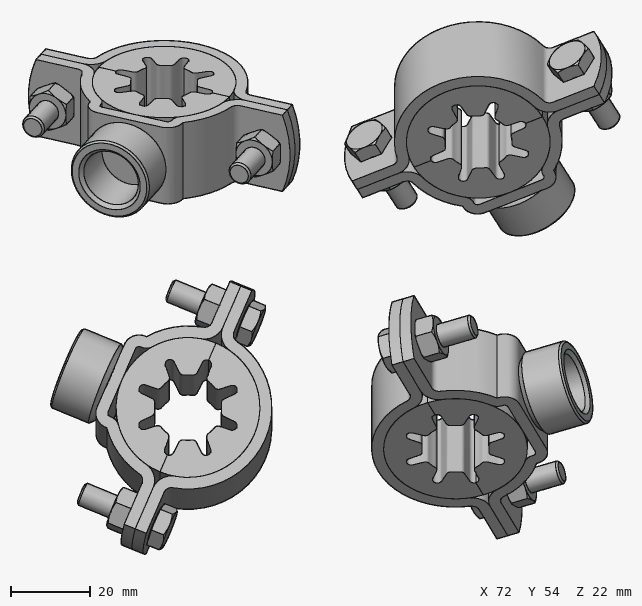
import cadquery as cq
import math

clamp_width = 22.0
strap_thickness = 3.0
liner_radius = 18.0
ring_radius = liner_radius + strap_thickness
ear_reach = 36.0
ear_end_radius = 30.0
ear_bend_inner = 2.0
ear_bend_outer = ear_bend_inner + strap_thickness

seat_bend_inner = 1.0
seat_bend_outer = seat_bend_inner + strap_thickness
seat_half_width = 12.75

slot_count = 8
bore_radius = 8.4
slot_tip_radius = 13.2
slot_tip_half_width = 1.2
slot_mouth_half_width = 1.42
tooth_fillet = 1.2

boss_radius = 10.75
boss_length = 12.0
boss_seat_chamfer = 1.5
boss_rim_chamfer = 0.5
boss_bore_radius = 7.5
boss_bore_chamfer = 0.95

bolt_spacing = 56.8
bolt_positions = [-bolt_spacing / 2, bolt_spacing / 2]
shank_radius = 3.0
shank_length = 20.0
shank_chamfer = 0.5
hex_across_flats = 10.0
hex_across_corners = hex_across_flats / math.cos(math.pi / 6)
head_height = 4.0
washer_face_radius = 4.5
washer_face_height = 0.2
nut_height = 5.0
hex_chamfer_length = 0.45
nut_seat_chamfer_length = 0.3
nut_seat_chamfer_depth = 0.45
corner_chamfer_depth = (hex_across_corners - hex_across_flats) / 2


def polar(radius, angle):
    return (radius * math.cos(angle), radius * math.sin(angle))


def from_center(center, radius, angle):
    x, y = polar(radius, angle)
    return (center[0] + x, center[1] + y)


def y_cylinder(radius, y_start, length):
    """Cylinder along Y from y_start toward +Y."""
    return cq.Workplane("XZ", origin=(0, y_start, 0)).circle(radius).extrude(-length)


def slab(outline):
    """Closed XY outline extruded over the clamp width, centred on Z = 0."""
    return outline.close().extrude(clamp_width / 2, both=True)


def both_sides(right_half):
    return right_half.union(right_half.mirror("YZ"))


bend_center_y = strap_thickness + ear_bend_inner
bend_center_x = math.sqrt((ring_radius + ear_bend_inner) ** 2 - bend_center_y ** 2)
bend_center = (bend_center_x, bend_center_y)
ear_angle = math.atan2(bend_center_y, bend_center_x)


def draw_ear(outline):
    """Continue an outline from the outer ring around one ear to the inner ring, on +X, +Y."""
    start_angle = math.pi + ear_angle
    mid_angle = (start_angle + 1.5 * math.pi) / 2
    bend_mid = from_center(bend_center, ear_bend_inner, mid_angle)
    return (
        outline
        .threePointArc(bend_mid, (bend_center_x, strap_thickness))
        .lineTo(ear_reach, strap_thickness)
        .lineTo(ear_reach, 0)
        .lineTo(bend_center_x, 0)
        .threePointArc(from_center(bend_center, ear_bend_outer, mid_angle), polar(liner_radius, ear_angle))
    )


def ear_envelope():
    """Clamp silhouette along Y: a band whose two ends are bowed outward."""
    half_width = clamp_width / 2
    sagitta = ear_end_radius - math.sqrt(ear_end_radius ** 2 - half_width ** 2)
    corner_x = ear_reach - sagitta
    return (
        cq.Workplane("XZ")
        .moveTo(-corner_x, -half_width)
        .lineTo(corner_x, -half_width)
        .threePointArc((ear_reach, 0), (corner_x, half_width))
        .lineTo(-corner_x, half_width)
        .threePointArc((-ear_reach, 0), (-corner_x, -half_width))
        .close()
        .extrude(2 * ring_radius, both=True)
    )


def finish_clamp(right_half):
    """Mirror a half strap, round its ear ends and drill the bolt holes."""
    strap = both_sides(right_half).intersect(ear_envelope())
    for x in bolt_positions:
        strap = strap.cut(y_cylinder(shank_radius, -ring_radius, 2 * ring_radius).translate((x, 0, 0)))
    return strap


def make_plain_clamp():
    top_angle = math.pi / 2
    mid_angle = (top_angle + ear_angle) / 2
    outline = (
        cq.Workplane("XY")
        .moveTo(0, ring_radius)
        .threePointArc(polar(ring_radius, mid_angle), polar(ring_radius, ear_angle))
    )
    outline = draw_ear(outline).threePointArc(polar(liner_radius, mid_angle), (0, liner_radius))
    return finish_clamp(slab(outline))


def make_seat_clamp():
    """Half strap with the flat seat, drawn on +Y and mirrored to -Y."""
    seat_angle = math.acos(seat_half_width / ring_radius)
    mid_angle = (seat_angle + ear_angle) / 2
    knee = polar(ring_radius, seat_angle)
    fold_mid = from_center(knee, strap_thickness, math.pi + seat_angle / 2)
    fold_end = (seat_half_width - strap_thickness, knee[1])
    corner = (seat_half_width - seat_bend_outer, ring_radius - seat_bend_outer)
    corner_mid_angle = math.pi / 4
    outline = (
        cq.Workplane("XY")
        .moveTo(0, ring_radius)
        .lineTo(corner[0], ring_radius)
        .threePointArc(from_center(corner, seat_bend_outer, corner_mid_angle), (seat_half_width, corner[1]))
        .lineTo(*knee)
        .threePointArc(polar(ring_radius, mid_angle), polar(ring_radius, ear_angle))
    )
    outline = (
        draw_ear(outline)
        .threePointArc(polar(liner_radius, mid_angle), polar(liner_radius, seat_angle))
        .threePointArc(fold_mid, fold_end)
        .lineTo(fold_end[0], corner[1])
        .threePointArc(from_center(corner, seat_bend_inner, corner_mid_angle), (corner[0], liner_radius))
        .lineTo(0, liner_radius)
    )
    return finish_clamp(slab(outline).mirror("XZ"))


def liner_slot(angle):
    """Tapered slot with a half-round tip, pointing along the given angle in degrees."""
    mouth_x = math.sqrt(bore_radius ** 2 - slot_mouth_half_width ** 2)
    tip_center_x = slot_tip_radius - slot_tip_half_width
    slot = (
        cq.Workplane("XY")
        .moveTo(0, -slot_mouth_half_width)
        .lineTo(mouth_x, -slot_mouth_half_width)
        .lineTo(tip_center_x, -slot_tip_half_width)
        .threePointArc((slot_tip_radius, 0), (tip_center_x, slot_tip_half_width))
        .lineTo(mouth_x, slot_mouth_half_width)
        .lineTo(0, slot_mouth_half_width)
    )
    return slab(slot).rotate((0, 0, 0), (0, 0, 1), angle)


def make_liner_halves():
    opening = cq.Workplane("XY").circle(bore_radius).extrude(clamp_width / 2, both=True)
    for i in range(slot_count):
        opening = opening.union(liner_slot(i * 360 / slot_count))
    tooth_corners = cq.selectors.BoxSelector(
        (-bore_radius, -bore_radius, -clamp_width), (bore_radius, bore_radius, clamp_width))
    opening = opening.edges("|Z").edges(tooth_corners).fillet(tooth_fillet)
    liner = cq.Workplane("XY").circle(liner_radius).extrude(clamp_width / 2, both=True).cut(opening)
    upper_side = cq.Workplane("XY", origin=(0, liner_radius / 2, 0)).box(
        2 * liner_radius, liner_radius, clamp_width)
    return [liner.intersect(upper_side), liner.cut(upper_side)]


def make_boss():
    boss = y_cylinder(boss_radius, -ring_radius - boss_length, boss_length)
    boss = boss.faces(">Y").chamfer(boss_seat_chamfer)
    boss = boss.faces("<Y").chamfer(boss_rim_chamfer)
    boss = boss.cut(y_cylinder(boss_bore_radius, -ring_radius - boss_length, boss_length))
    bore_rim = cq.selectors.RadiusNthSelector(0)
    return boss.faces("<Y").edges(bore_rim).chamfer(boss_bore_chamfer)


def hex_prism(height, corner_angle):
    """Hexagon along +Y from Y = 0, its first corner turned from +X by corner_angle degrees."""
    prism = cq.Workplane("XZ").polygon(6, hex_across_corners).extrude(-height)
    return prism.rotate((0, 0, 0), (0, 1, 0), corner_angle)


def make_bolt(x):
    """Hex bolt with its head on the +Y ear face."""
    envelope = (
        y_cylinder(hex_across_corners / 2, 0, head_height)
        .faces(">Y").chamfer(hex_chamfer_length, corner_chamfer_depth)
    )
    washer_face_gap = y_cylinder(hex_across_corners / 2, 0, washer_face_height).cut(
        y_cylinder(washer_face_radius, 0, washer_face_height))
    head = hex_prism(head_height, 0).intersect(envelope).cut(washer_face_gap)
    shank = y_cylinder(shank_radius, -shank_length, shank_length).faces("<Y").chamfer(shank_chamfer)
    return head.union(shank).translate((x, strap_thickness, 0))


def make_nut(x):
    """Hex nut against the -Y ear face."""
    envelope = (
        y_cylinder(hex_across_corners / 2, 0, nut_height)
        .faces("<Y").chamfer(hex_chamfer_length, corner_chamfer_depth)
        .faces(">Y").chamfer(nut_seat_chamfer_length, nut_seat_chamfer_depth)
    )
    nut = hex_prism(nut_height, 30).intersect(envelope).cut(y_cylinder(shank_radius, 0, nut_height))
    return nut.translate((x, -strap_thickness - nut_height, 0))


plain_clamp = make_plain_clamp()
seat_clamp = make_seat_clamp()
liner_halves = make_liner_halves()
boss = make_boss()
bolts = [make_bolt(x) for x in bolt_positions]
nuts = [make_nut(x) for x in bolt_positions]

bodies = [plain_clamp, seat_clamp, *liner_halves, boss, *bolts, *nuts]
result = cq.Compound.makeCompound([solid for body in bodies for solid in body.solids().vals()])